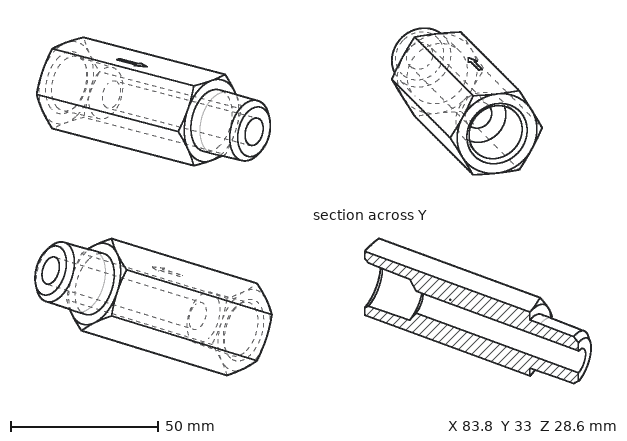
import cadquery as cq
import math

across_corners = 33.0
across_flats = across_corners * math.cos(math.pi / 6)
overall_length = 83.8
spigot_length = 19.0
body_length = overall_length - spigot_length
corner_chamfer_length = 0.8

spigot_diameter = 21.6
collar_length = 3.9
nose_diameter = 21.1
nose_chamfer = 1.9

mouth_diameter = 21.6
bore_diameter = 19.0
mouth_chamfer_length = 1.5
bore_length = 16.1
pipe_taper = 1 / 16
floor_half_angle = math.radians(59)
passage_diameter = 9.55

arrow_start = 25.3
arrow_length = 13.0
arrow_head_length = 4.4
arrow_head_width = 3.3
arrow_shaft_width = 1.3
arrow_y = -2.5
engraving_depth = 0.1


def revolve_about_x(profile):
    """Revolve a closed list of (x, radius) points about the X axis."""
    return cq.Workplane("XY").polyline(profile).close().revolve(360, (0, 0, 0), (1, 0, 0))


def make_body():
    """Hexagonal bar with its corners chamfered at both ends."""
    hexagon = cq.Workplane("YZ").polygon(6, across_corners).extrude(body_length)
    flat_radius = across_flats / 2
    corner_radius = across_corners / 2
    envelope = revolve_about_x([
        (0, 0),
        (0, flat_radius),
        (corner_chamfer_length, corner_radius),
        (body_length - corner_chamfer_length, corner_radius),
        (body_length, flat_radius),
        (body_length, 0),
    ])
    return hexagon.intersect(envelope)


def make_spigot():
    """Tapered male end; its inner end face sits on the body."""
    collar_radius = spigot_diameter / 2
    taper_start = body_length + collar_length
    taper_end = overall_length - nose_chamfer
    taper_end_radius = nose_diameter / 2
    return revolve_about_x([
        (body_length, 0),
        (body_length, collar_radius),
        (taper_start, collar_radius),
        (taper_end, taper_end_radius),
        (overall_length, taper_end_radius - nose_chamfer),
        (overall_length, 0),
    ])


def make_flow_path():
    """Void of the female port and the passage running through to the nose."""
    bore_radius = bore_diameter / 2
    passage_radius = passage_diameter / 2
    bore_end = mouth_chamfer_length + bore_length
    bore_end_radius = bore_radius - bore_length * pipe_taper / 2
    floor_end = bore_end + (bore_end_radius - passage_radius) / math.tan(floor_half_angle)
    return revolve_about_x([
        (0, 0),
        (0, mouth_diameter / 2),
        (mouth_chamfer_length, bore_radius),
        (bore_end, bore_end_radius),
        (floor_end, passage_radius),
        (overall_length, passage_radius),
        (overall_length, 0),
    ])


def make_arrow():
    """Shallow arrow pointing from the female port to the male end."""
    head_start = arrow_start + arrow_length - arrow_head_length
    half_shaft = arrow_shaft_width / 2
    half_head = arrow_head_width / 2
    return (
        cq.Workplane("XY", origin=(0, arrow_y, across_flats / 2 - engraving_depth))
        .polyline([
            (arrow_start, -half_shaft),
            (head_start, -half_shaft),
            (head_start, -half_head),
            (arrow_start + arrow_length, 0),
            (head_start, half_head),
            (head_start, half_shaft),
            (arrow_start, half_shaft),
        ])
        .close()
        .extrude(2 * engraving_depth)
    )


result = make_body().union(make_spigot()).cut(make_flow_path()).cut(make_arrow())